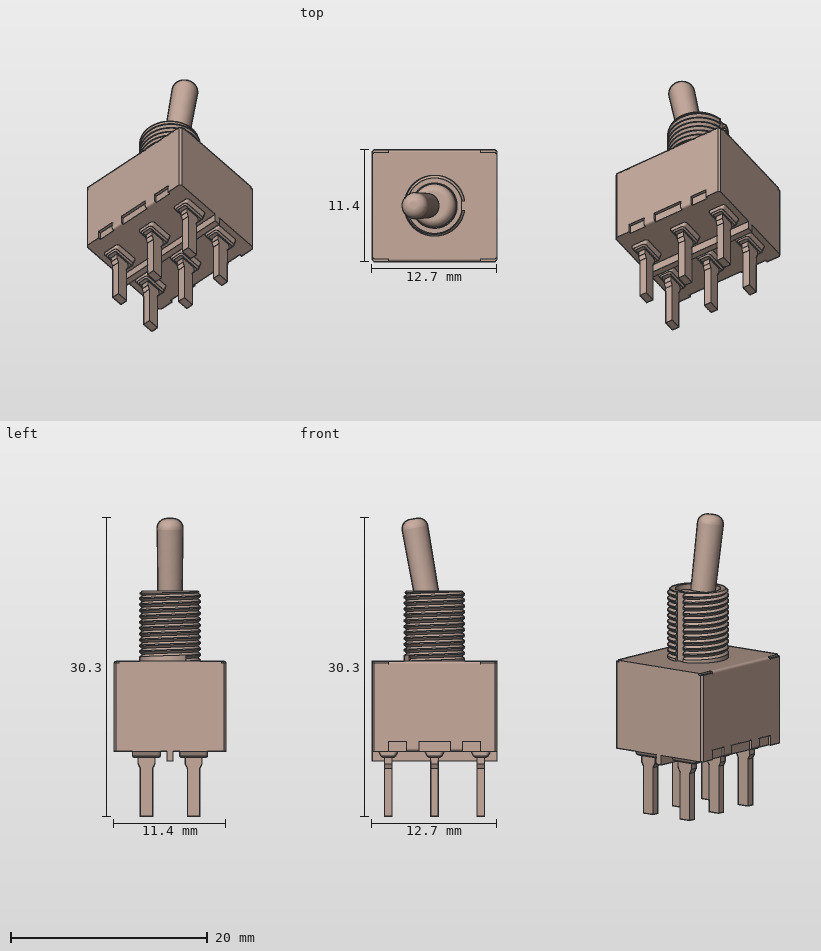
import cadquery as cq
import math


HOUSING_LENGTH = 12.7
HOUSING_WIDTH = 11.4
HOUSING_HEIGHT = 9.15
PANEL_THICKNESS = 0.27
PANEL_HALF_LENGTH = 4.67
CORNER_CHAMFER = 0.2
CORNER_STEP = 0.18
WINDOW_HEIGHT = 1.0
TAB_INNER_END = 1.6
TAB_OUTER_END = 2.85
RIB_WIDTH = 0.65
RIB_DEPTH = 1.0
core_width = HOUSING_WIDTH - 2 * PANEL_THICKNESS

BUSHING_TOP = 16.32
THREAD_RADIUS = 3.1
BORE_DIAMETER = 4.6
BUSHING_CHAMFER = 0.27
THREAD_DEPTH = 0.27
GROOVE_WIDTH = 0.5
GROOVE_START_HEIGHT = 9.43
GROOVE_START_ANGLE = 212
GROOVE_TURNS = 12
GROOVE_RISE = 7.2
KEYWAY_WIDTH = 0.97
KEYWAY_FLOOR = 2.73

PIN_PITCH = 4.7
ROW_PITCH = 4.8
PIN_COLUMNS = 3
PIN_ROWS = 2
PIN_THICKNESS = 0.8
PIN_WIDTH = 1.27
PIN_SHOULDER_WIDTH = 1.73
PIN_LENGTH = 6.6
SHOULDER_END = 1.27
TAPER_END = 1.73
COLLAR_WIDTH = 2.85
COLLAR_TOP_LENGTH = 2.0
COLLAR_BOTTOM_LENGTH = 1.33
COLLAR_DEPTH = 0.65
COLLAR_CORNER_RADIUS = 0.3
COLLAR_CHAMFER = 0.15

LEVER_TILT = 10.0
LEVER_AXIS_HEIGHT = 11.4
LEVER_TOP = 23.72
LEVER_TIP_RADIUS = 1.33
LEVER_ROOT_RADIUS = 1.25
TIP_FLAT_RADIUS = 0.35
BALL_DIAMETER = 4.4
BALL_CENTRE_HEIGHT = 14.95
BALL_FLAT_HEIGHT = 1.03
BALL_FLAT_RADIUS = 1.43

bore_floor = BALL_CENTRE_HEIGHT - BALL_DIAMETER / 2


def vertical_box(length, width, bottom, top):
    """A box centred on the Z axis between two heights."""
    return cq.Workplane("XY").workplane(offset=bottom).rect(length, width).extrude(top - bottom)


def housing_core():
    """The moulded block: a full-height middle and four corner strips that stop a little lower."""
    block = vertical_box(HOUSING_LENGTH, core_width, 0, HOUSING_HEIGHT).edges("|Z").chamfer(CORNER_CHAMFER)
    strip_top = HOUSING_HEIGHT - CORNER_STEP
    strips = vertical_box(HOUSING_LENGTH, HOUSING_WIDTH, 0, strip_top).edges("|Z").chamfer(CORNER_CHAMFER)
    for side in (-1, 1):
        panel_seat = vertical_box(2 * PANEL_HALF_LENGTH, PANEL_THICKNESS, 0, strip_top)
        strips = strips.cut(panel_seat.translate((0, side * (HOUSING_WIDTH - PANEL_THICKNESS) / 2, 0)))
    rib = vertical_box(HOUSING_LENGTH, RIB_WIDTH, -RIB_DEPTH, 0)
    return block.union(strips).union(rib)


def side_panel():
    """The -Y panel: rounded along its top edge and under its two foot tabs."""
    bend = PANEL_THICKNESS
    bend_middle = bend * math.sqrt(0.5)
    inner = -core_width / 2
    outer = -HOUSING_WIDTH / 2
    panel = (
        cq.Workplane("YZ")
        .moveTo(inner, 0)
        .threePointArc((inner - bend_middle, bend - bend_middle), (outer, bend))
        .lineTo(outer, HOUSING_HEIGHT - bend)
        .threePointArc((inner - bend_middle, HOUSING_HEIGHT - bend + bend_middle), (inner, HOUSING_HEIGHT))
        .close()
        .extrude(PANEL_HALF_LENGTH, both=True)
    )
    window_spans = [
        (-PANEL_HALF_LENGTH, -TAB_OUTER_END),
        (-TAB_INNER_END, TAB_INNER_END),
        (TAB_OUTER_END, PANEL_HALF_LENGTH),
    ]
    for left, right in window_spans:
        window = vertical_box(right - left, HOUSING_WIDTH, 0, WINDOW_HEIGHT)
        panel = panel.cut(window.translate(((left + right) / 2, 0, 0)))
    return panel


def thread_groove():
    """A V groove swept along a right-handed helix, with its blunt start near the foot of the bushing."""
    pitch = GROOVE_RISE / GROOVE_TURNS
    path = cq.Wire.makeHelix(pitch, GROOVE_RISE, THREAD_RADIUS)
    overshoot = 0.045
    half_width = GROOVE_WIDTH / 2 * (THREAD_DEPTH + overshoot) / THREAD_DEPTH
    groove = (
        cq.Workplane("XZ")
        .moveTo(THREAD_RADIUS - THREAD_DEPTH, 0)
        .lineTo(THREAD_RADIUS + overshoot, half_width)
        .lineTo(THREAD_RADIUS + overshoot, -half_width)
        .close()
        .sweep(cq.Workplane(path), isFrenet=True)
    )
    return groove.rotate((0, 0, 0), (0, 0, 1), GROOVE_START_ANGLE).translate((0, 0, GROOVE_START_HEIGHT))


def bushing():
    """The threaded sleeve, still solid inside, with its keyway on the +X side."""
    sleeve = cq.Workplane("XY").workplane(offset=HOUSING_HEIGHT).circle(THREAD_RADIUS)
    sleeve = sleeve.extrude(BUSHING_TOP - HOUSING_HEIGHT)
    chamfered_outline = sleeve.faces(">Z").chamfer(BUSHING_CHAMFER)
    sleeve = sleeve.cut(thread_groove()).intersect(chamfered_outline)
    keyway = vertical_box(THREAD_RADIUS, KEYWAY_WIDTH, HOUSING_HEIGHT, BUSHING_TOP)
    keyway = keyway.translate((KEYWAY_FLOOR + THREAD_RADIUS / 2, 0, 0))
    return sleeve.cut(keyway)


def pin():
    """One flat terminal with a wider shoulder and a collar, hanging from Z = 0."""
    half_shoulder = PIN_SHOULDER_WIDTH / 2
    half_width = PIN_WIDTH / 2
    blade = (
        cq.Workplane("YZ")
        .polyline([
            (-half_shoulder, 0),
            (half_shoulder, 0),
            (half_shoulder, -SHOULDER_END),
            (half_width, -TAPER_END),
            (half_width, -PIN_LENGTH),
            (-half_width, -PIN_LENGTH),
            (-half_width, -TAPER_END),
            (-half_shoulder, -SHOULDER_END),
        ])
        .close()
        .extrude(PIN_THICKNESS / 2, both=True)
    )
    collar = (
        cq.Workplane("XZ")
        .polyline([
            (-COLLAR_TOP_LENGTH / 2, 0),
            (COLLAR_TOP_LENGTH / 2, 0),
            (COLLAR_BOTTOM_LENGTH / 2, -COLLAR_DEPTH),
            (-COLLAR_BOTTOM_LENGTH / 2, -COLLAR_DEPTH),
        ])
        .close()
        .extrude(COLLAR_WIDTH / 2, both=True)
        .edges("not(|X or |Y)")
        .fillet(COLLAR_CORNER_RADIUS)
        .faces("<Z")
        .chamfer(COLLAR_CHAMFER)
    )
    return blade.union(collar)


def make_housing():
    """Block, panels, bushing and pins as one solid, with the blind bore for the lever."""
    body = housing_core().union(bushing())
    pin_places = cq.Workplane("XY").rarray(PIN_PITCH, ROW_PITCH, PIN_COLUMNS, PIN_ROWS).vals()
    for place in pin_places:
        body = body.union(pin().translate(place.toTuple()))
    bore = cq.Workplane("XY").workplane(offset=bore_floor).circle(BORE_DIAMETER / 2)
    body = body.cut(bore.extrude(BUSHING_TOP - bore_floor))
    panel = side_panel()
    return body.union(panel, clean=False).union(panel.mirror("XZ"), clean=False)


def tilted(shape, height):
    """Tilts a shape built along the Z axis and moves its origin up the bushing axis."""
    return shape.rotate((0, 0, 0), (0, 1, 0), -LEVER_TILT).translate((0, 0, height))


def make_lever():
    """A slightly tapered handle with a rounded tip, rising from a flat-topped ball."""
    tilt = math.radians(LEVER_TILT)
    diagonal = math.sqrt(0.5)

    tip_round = LEVER_TIP_RADIUS - TIP_FLAT_RADIUS
    highest_round_centre = LEVER_TOP - tip_round - LEVER_AXIS_HEIGHT
    taper_top = (highest_round_centre - TIP_FLAT_RADIUS * math.sin(tilt)) / math.cos(tilt)
    root = (BALL_CENTRE_HEIGHT - LEVER_AXIS_HEIGHT) / math.cos(tilt)
    handle = (
        cq.Workplane("XZ")
        .moveTo(0, root)
        .lineTo(LEVER_ROOT_RADIUS, root)
        .lineTo(LEVER_TIP_RADIUS, taper_top)
        .threePointArc(
            (TIP_FLAT_RADIUS + tip_round * diagonal, taper_top + tip_round * diagonal),
            (TIP_FLAT_RADIUS, taper_top + tip_round),
        )
        .lineTo(0, taper_top + tip_round)
        .close()
        .revolve(360, (0, 0, 0), (0, 1, 0))
    )

    ball_radius = BALL_DIAMETER / 2
    shoulder_round = ball_radius - BALL_FLAT_RADIUS
    shoulder = BALL_FLAT_HEIGHT - shoulder_round
    ball = (
        cq.Workplane("XZ")
        .moveTo(0, -ball_radius)
        .threePointArc((ball_radius * diagonal, -ball_radius * diagonal), (ball_radius, 0))
        .lineTo(ball_radius, shoulder)
        .threePointArc(
            (BALL_FLAT_RADIUS + shoulder_round * diagonal, shoulder + shoulder_round * diagonal),
            (BALL_FLAT_RADIUS, BALL_FLAT_HEIGHT),
        )
        .lineTo(0, BALL_FLAT_HEIGHT)
        .close()
        .revolve(360, (0, 0, 0), (0, 1, 0))
    )
    return tilted(ball, BALL_CENTRE_HEIGHT).union(tilted(handle, LEVER_AXIS_HEIGHT))


housing = make_housing()
lever = make_lever()

result = cq.Compound.makeCompound([housing.solids().val(), lever.solids().val()])